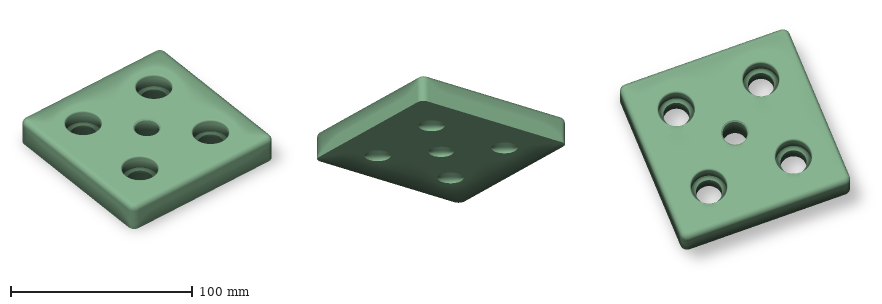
import cadquery as cq

side = 100.0
thickness = 16.0
corner_radius = 4.0
top_edge_radius = 3.0

hole_spacing = 50.0
hole_diameter = 14.5
counterbore_diameter = 20.0
counterbore_depth = 8.0
counterbore_rim_radius = 1.0

center_hole_diameter = 13.8
center_chamfer = 0.8


def rounded_plate():
    """Plate standing on Z = 0 with rounded corners and a rounded top edge."""
    plate = cq.Workplane("XY").box(side, side, thickness, centered=(True, True, False))
    plate = plate.edges("|Z").fillet(corner_radius)
    return plate.faces(">Z").edges().fillet(top_edge_radius)


def mounting_hole():
    """Cutter for a through hole with a counterbore that flares to a rounded rim."""
    hole_radius = hole_diameter / 2
    counterbore_radius = counterbore_diameter / 2
    rim_outer_radius = counterbore_radius + counterbore_rim_radius
    counterbore_floor = thickness - counterbore_depth
    profile = (
        cq.Workplane("XZ")
        .lineTo(hole_radius, 0)
        .lineTo(hole_radius, counterbore_floor)
        .lineTo(counterbore_radius, counterbore_floor)
        .lineTo(counterbore_radius, thickness - counterbore_rim_radius)
        .radiusArc((rim_outer_radius, thickness), counterbore_rim_radius)
        .lineTo(0, thickness)
        .close()
    )
    return profile.revolve(360, (0, 0, 0), (0, 1, 0))


def center_hole():
    """Cutter for the center through hole with a chamfered upper rim."""
    radius = center_hole_diameter / 2
    profile = (
        cq.Workplane("XZ")
        .lineTo(radius, 0)
        .lineTo(radius, thickness - center_chamfer)
        .lineTo(radius + center_chamfer, thickness)
        .lineTo(0, thickness)
        .close()
    )
    return profile.revolve(360, (0, 0, 0), (0, 1, 0))


result = rounded_plate().cut(center_hole())
for x in (-hole_spacing / 2, hole_spacing / 2):
    for y in (-hole_spacing / 2, hole_spacing / 2):
        result = result.cut(mounting_hole().translate((x, y, 0)))